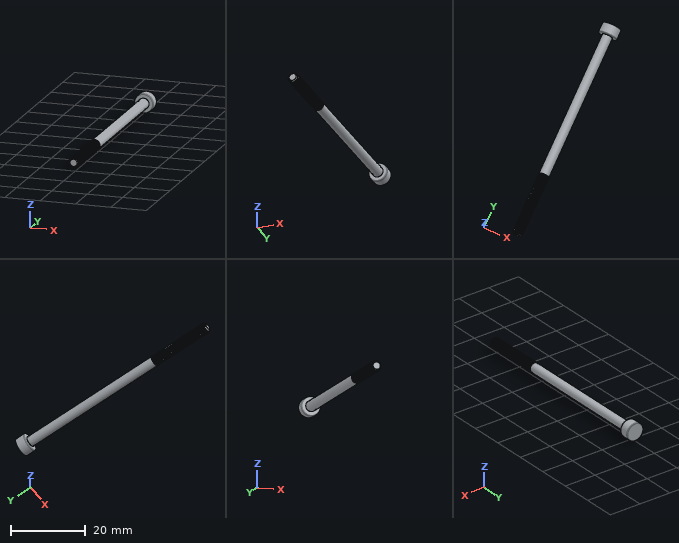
import cadquery as cq
import math

length = 63.0
head_diameter = 5.5
head_height = 3.0
head_rounding = 0.2
shank_diameter = 3.0
tip_diameter = 2.0

thread_length = 18.0
thread_turns = 36
thread_depth = 0.31
flank_angle = 30
start_angle = -160

pitch = thread_length / thread_turns
root_flat = pitch / 6
head_radius = head_diameter / 2
shank_radius = shank_diameter / 2
root_radius = shank_radius - thread_depth
tip_radius = tip_diameter / 2

head_end = length / 2
head_seat = head_end - head_height
tip = -length / 2
thread_start = tip + thread_length

groove_overrun = pitch / 2
blank_overrun = 2 * groove_overrun
crest_clearance = 0.025


def along_y(radius, y_start, y_end):
    """Round bar about the Y axis between two Y positions."""
    return (
        cq.Workplane("XZ", origin=(0, y_end, 0))
        .circle(radius)
        .extrude(y_end - y_start)
    )


def make_head():
    """Cylindrical head with both rims rounded."""
    return along_y(head_radius, head_seat, head_end).edges().fillet(head_rounding)


def make_thread_groove():
    """Helical V-groove, running past both ends of the thread."""
    outer_radius = shank_radius + crest_clearance
    half_root = root_flat / 2
    flank_spread = (outer_radius - root_radius) * math.tan(math.radians(flank_angle))
    half_mouth = half_root + flank_spread

    profile = (
        cq.Workplane("XZ")
        .moveTo(root_radius, -half_root)
        .lineTo(outer_radius, -half_mouth)
        .lineTo(outer_radius, half_mouth)
        .lineTo(root_radius, half_root)
        .close()
    )
    helix = cq.Wire.makeHelix(pitch, thread_length + 2 * groove_overrun, root_radius)
    groove = profile.sweep(cq.Workplane(helix), isFrenet=True)
    return (
        groove.rotate((0, 0, 0), (1, 0, 0), 90)
        .rotate((0, 0, 0), (0, 1, 0), start_angle)
        .translate((0, thread_start + groove_overrun, 0))
    )


def make_thread_envelope():
    """Bar wider than the thread and exactly as long, cut to a 45 degree cone at the tip."""
    bar = along_y(head_radius, tip, thread_start)
    return bar.faces("<Y").chamfer(head_radius - tip_radius)


def make_threaded_end():
    """Thread cut on an over-long bar, then trimmed flat at its start and coned at the tip."""
    blank = along_y(shank_radius, tip - blank_overrun, thread_start + blank_overrun)
    return blank.cut(make_thread_groove()).intersect(make_thread_envelope())


def make_plain_shank():
    """Smooth bar between the thread and the head."""
    return along_y(shank_radius, thread_start, head_seat)


result = make_threaded_end().union(make_plain_shank()).union(make_head())